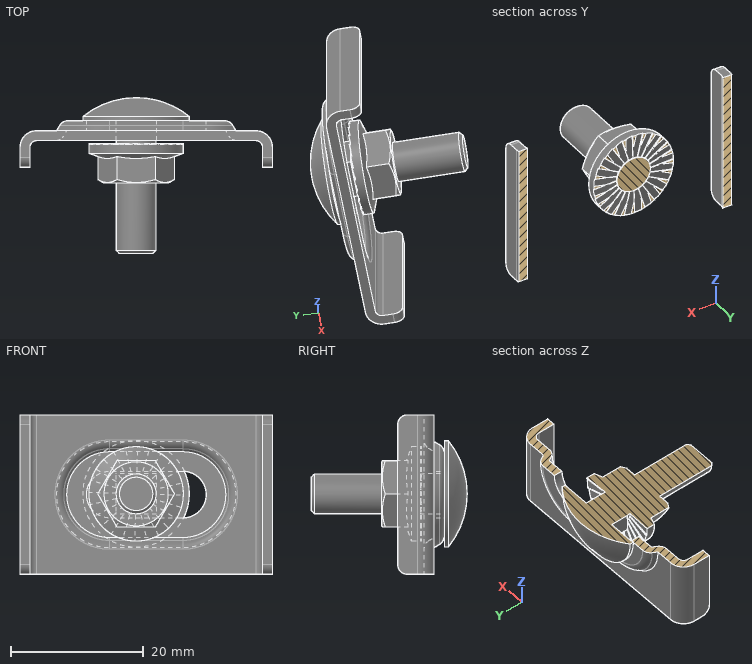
import cadquery as cq
import math


plate_length = 38.0
plate_height = 24.0
sheet = 1.52
flange_depth = 5.5
bend_inner_radius = 1.0
bend_outer_radius = bend_inner_radius + sheet
flange_corner_radius = 1.5

slot_spacing = 11.02
slot_radius = 3.5
pad_height = sheet
pad_base_radius = 7.98
recess_floor_radius = 6.45
wall_draft = 30.0
wall_fillet = sheet
recess_mouth_radius = recess_floor_radius + sheet * math.tan(math.radians(wall_draft))

bolt_x = -1.52
bolt_z = 0.1
head_seat_y = pad_height
head_radius = 8.0
head_rim = 0.6
head_top_y = 4.98
neck_side = 6.08
neck_length = pad_height + sheet
shank_radius = 3.0
tip_y = -18.5
tip_chamfer = 0.5

hex_flats = 10.0
hex_sides = 6
hex_corner_radius = hex_flats / 2 / math.cos(math.pi / hex_sides)
nut_end_y = -7.9
nut_chamfer_radius = 4.83
nut_chamfer_angle = 30.0
collar_radius = 7.1
collar_edge_y = -3.42
collar_slope = 20.0
tooth_count = 24
tooth_height = 0.2
tooth_peak_y = -1.9
tooth_root_y = tooth_peak_y - tooth_height
tooth_start_angle = 91.7
tooth_overrun = 1.05


def slot_prism(radius, start_y, end_y, draft=0.0):
    """Round-ended slot shape along X, from start_y to end_y, narrowing by the draft angle."""
    plane = cq.Plane(origin=(0, start_y, 0), xDir=(-1, 0, 0), normal=(0, 1, 0))
    outline = cq.Workplane(plane).slot2D(slot_spacing + 2 * radius, 2 * radius)
    return outline.extrude(end_y - start_y, taper=draft)


def make_channel():
    """U-shaped sheet with rounded bends and rounded flange corners."""
    outer = cq.Workplane("XY").box(plate_length, flange_depth, plate_height)
    outer = outer.translate((0, -flange_depth / 2, 0)).edges("|Z and >Y").fillet(bend_outer_radius)
    inner = cq.Workplane("XY").box(plate_length - 2 * sheet, flange_depth, plate_height)
    inner = inner.translate((0, -sheet - flange_depth / 2, 0)).edges("|Z and >Y").fillet(bend_inner_radius)
    return outer.cut(inner).edges("|X and <Y").fillet(flange_corner_radius)


def make_bracket():
    """Channel with the raised pad, the recess under it and the slot through it."""
    pad = slot_prism(pad_base_radius, 0, pad_height, wall_draft).faces(">Y").edges().fillet(wall_fillet)
    recess = slot_prism(recess_mouth_radius, -sheet, 0, wall_draft)
    bracket = make_channel().union(pad).cut(recess)
    margin = 0.38
    reach_x = slot_spacing / 2 + recess_mouth_radius + margin
    reach_z = recess_mouth_radius + margin
    mouth_edges = cq.selectors.BoxSelector(
        (-reach_x, -sheet - margin, -reach_z),
        (reach_x, -sheet + margin, reach_z),
    )
    bracket = bracket.edges(mouth_edges).fillet(wall_fillet)
    return bracket.cut(slot_prism(slot_radius, -sheet, pad_height))


def revolve_about_bolt(profile):
    """Revolve an outline of (radius, Y) points about the bolt's own axis."""
    return profile.close().revolve(360, (0, 0, 0), (0, 1, 0))


def make_bolt():
    """Domed head, square neck and chamfered shank, on the Y axis."""
    rim_top_y = head_seat_y + head_rim
    dome_rise = head_top_y - rim_top_y
    dome_radius = (head_radius**2 + dome_rise**2) / (2 * dome_rise)
    half_angle = math.asin(head_radius / dome_radius) / 2
    dome_middle = (
        dome_radius * math.sin(half_angle),
        head_top_y - dome_radius * (1 - math.cos(half_angle)),
    )
    profile = (
        cq.Workplane("XY")
        .moveTo(0, tip_y)
        .lineTo(shank_radius - tip_chamfer, tip_y)
        .lineTo(shank_radius, tip_y + tip_chamfer)
        .lineTo(shank_radius, head_seat_y)
        .lineTo(head_radius, head_seat_y)
        .lineTo(head_radius, rim_top_y)
        .threePointArc(dome_middle, (0, head_top_y))
    )
    neck = cq.Workplane("XY").box(neck_side, neck_length, neck_side)
    neck = neck.translate((0, head_seat_y - neck_length / 2, 0))
    return revolve_about_bolt(profile).union(neck)


def rim_point(angle, y, radius):
    """Point at a radius from the Y axis, with the angle measured from +X toward -Z."""
    return cq.Vector(radius * math.cos(angle), y, -radius * math.sin(angle))


def make_tooth(index):
    """Ratchet tooth: a steep radial face and a ramp, both running out at the axis."""
    pitch = 2 * math.pi / tooth_count
    start = math.radians(tooth_start_angle) + index * pitch
    radius = collar_radius * tooth_overrun
    axis_point = cq.Vector(0, tooth_root_y, 0)
    peak = rim_point(start, tooth_root_y + tooth_height * tooth_overrun, radius)
    root = rim_point(start, tooth_root_y, radius)
    ramp_end = rim_point(start - pitch, tooth_root_y, radius)
    triangles = [
        (axis_point, root, peak),
        (axis_point, peak, ramp_end),
        (axis_point, ramp_end, root),
        (root, ramp_end, peak),
    ]
    faces = [cq.Face.makeFromWires(cq.Wire.makePolygon(list(corners), close=True)) for corners in triangles]
    return cq.Workplane(cq.Solid.makeSolid(cq.Shell.makeShell(faces)))


def make_nut():
    """Chamfered hexagon on a conical collar with ratchet teeth, on the Y axis."""
    hexagon = (
        cq.Workplane("XZ", origin=(0, tooth_root_y, 0))
        .polygon(hex_sides, 2 * hex_corner_radius)
        .extrude(tooth_root_y - nut_end_y)
    )
    chamfer_drop = (hex_corner_radius - nut_chamfer_radius) * math.tan(math.radians(nut_chamfer_angle))
    chamfer_envelope = revolve_about_bolt(
        cq.Workplane("XY")
        .moveTo(0, nut_end_y)
        .lineTo(nut_chamfer_radius, nut_end_y)
        .lineTo(hex_corner_radius, nut_end_y + chamfer_drop)
        .lineTo(hex_corner_radius, tooth_root_y)
        .lineTo(0, tooth_root_y)
    )
    cone_drop = (collar_radius - shank_radius) * math.tan(math.radians(collar_slope))
    collar = revolve_about_bolt(
        cq.Workplane("XY")
        .moveTo(0, tooth_root_y)
        .lineTo(collar_radius, tooth_root_y)
        .lineTo(collar_radius, collar_edge_y)
        .lineTo(shank_radius, collar_edge_y - cone_drop)
        .lineTo(0, collar_edge_y - cone_drop)
    )
    nut = hexagon.intersect(chamfer_envelope).union(collar)
    tooth_limit = cq.Workplane("XZ", origin=(0, tooth_peak_y, 0)).circle(collar_radius).extrude(tooth_height)
    for index in range(tooth_count):
        nut = nut.union(make_tooth(index).intersect(tooth_limit))
    return nut


def make_fastener():
    """Bolt and nut as one solid, placed off-centre in the slot."""
    return make_bolt().union(make_nut()).translate((bolt_x, 0, bolt_z))


bracket = make_bracket()
fastener = make_fastener()
result = cq.Compound.makeCompound([bracket.val(), fastener.val()])